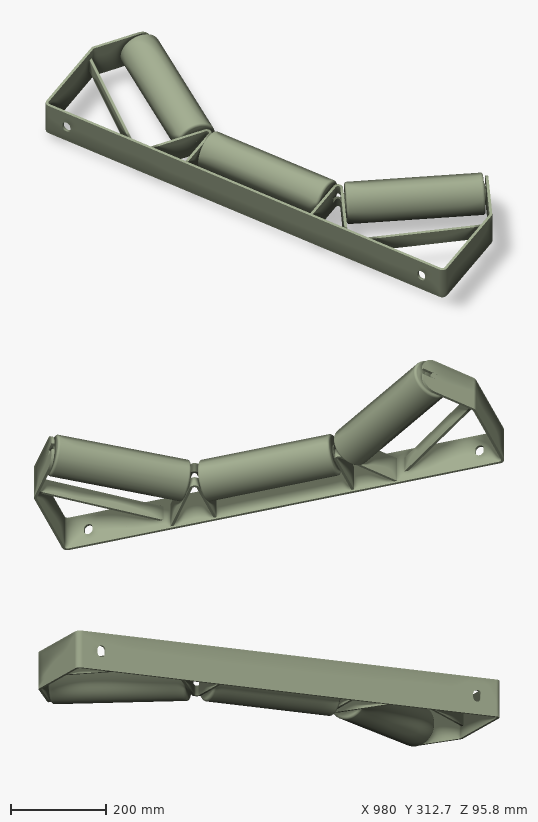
import cadquery as cq
import math

thickness = 6.0
frame_bend_radius = 6.0
bracket_bend_radius = 5.0

frame_width = 980
frame_height = 80.0
wall_height = 198.0
trough_angle = 35
end_plate_length = 135.0
tip_radius = 29
bolt_slot_x = 434.0
bolt_slot_width = 19.0
bolt_slot_height = 25.0

roller_diameter = 89.0
roller_length = 292.0
roller_edge_radius = 5.0
hub_diameter = 42.0
end_gap = 4.0
hub_clearance = 1.0
shaft_radius = 9.0
shaft_across_flats = 15.0
plate_spacing = roller_length + 2 * end_gap
shaft_length = plate_spacing + 2 * thickness
hub_length = plate_spacing - 2 * hub_clearance

middle_roller_y = 98
side_axis_along_plate = 105.0
inner_axis_z = -7.0
shaft_slot_length = 59
shaft_slot_depth = 2 * thickness

bracket_height = 59
brace_height = 35.0
brace_z = 2.0
brace_wall_y = 187.0
brace_bar_x = -268.0

half_width = frame_width / 2
lean = math.radians(trough_angle)
plate_corner = cq.Vector(-half_width, wall_height, 0)
up_plate = cq.Vector(math.sin(lean), math.cos(lean), 0)
down_trough = cq.Vector(math.cos(lean), -math.sin(lean), 0)


def nearest_to(point):
    return cq.selectors.NearestToPointSelector(point.toTuple())


def mitred_offset(before, corner, after):
    """Point on the far face of a strip, opposite a corner of its near face."""
    directions = ((corner - before).normalized(), (after - corner).normalized())
    first_left, second_left = (cq.Vector(-d.y, d.x, 0) for d in directions)
    return corner + (first_left + second_left) * (thickness / (1 + first_left.dot(second_left)))


def bent_strip(face_points, height, bend_radius=0):
    """Upright strip with its material left of the given face and the given inner radius at bends."""
    points = [cq.Vector(p) for p in face_points]
    lead_in = points[0] * 2 - points[1]
    run_out = points[-1] * 2 - points[-2]
    padded = [lead_in, *points, run_out]
    far_points = [mitred_offset(*padded[i : i + 3]) for i in range(len(points))]
    outline = [(p.x, p.y) for p in points + far_points[::-1]]
    strip = cq.Workplane("XY").polyline(outline).close().extrude(height / 2, both=True)
    for near, far in zip(points[1:-1], far_points[1:-1]):
        strip = strip.edges(nearest_to(near)).fillet(bend_radius + thickness)
        strip = strip.edges(nearest_to(far)).fillet(bend_radius)
    return strip


def mirrored(left_body):
    return left_body.mirror("YZ")


def roller_planes():
    """Planes at the roller middles: X along the shaft, Z toward the open end of the shaft slots."""
    middle = cq.Plane(origin=(0, middle_roller_y, inner_axis_z), xDir=(1, 0, 0), normal=(0, 1, 0))
    outer_end = plate_corner + up_plate * side_axis_along_plate + down_trough * thickness
    inner_end = outer_end + down_trough * plate_spacing + cq.Vector(0, 0, inner_axis_z)
    side = cq.Plane(
        origin=(outer_end + inner_end) / 2, xDir=inner_end - outer_end, normal=up_plate
    )
    return middle, side


def disc(radius, length):
    """Cylinder along X, centred on the origin."""
    return cq.Workplane("YZ").workplane(offset=-length / 2).circle(radius).extrude(length)


def flatted_shaft(length):
    flats = cq.Workplane("XY").box(length, shaft_across_flats, 2 * shaft_radius)
    return disc(shaft_radius, length).intersect(flats)


def roller(plane):
    """Roller whose shaft ends reach the outer faces of the two plates that carry it."""
    shell = disc(roller_diameter / 2, roller_length).edges().fillet(roller_edge_radius)
    body = shell.union(disc(hub_diameter / 2, hub_length)).union(flatted_shaft(shaft_length))
    return cq.Workplane(body.val().moved(plane.location))


def shaft_slots(plane):
    """Cutters for the open slots that the flatted shaft ends drop into."""
    slots = flatted_shaft(plate_spacing + 2 * shaft_slot_depth)
    for side in (-1, 1):
        throat = cq.Workplane("XY").box(
            shaft_slot_depth, shaft_across_flats, shaft_slot_length, centered=(True, True, False)
        )
        slots = slots.union(throat.translate((side * (plate_spacing + shaft_slot_depth) / 2, 0, 0)))
    return cq.Workplane(slots.val().moved(plane.location))


def frame(side_slots):
    left_tip = plate_corner + up_plate * end_plate_length
    right_tip = cq.Vector(-left_tip.x, left_tip.y, 0)
    right_corner = cq.Vector(half_width, wall_height, 0)
    body = bent_strip(
        [left_tip, plate_corner, (-half_width, 0, 0), (half_width, 0, 0), right_corner, right_tip],
        frame_height,
        frame_bend_radius,
    )
    for tip in (left_tip, right_tip):
        for z in (-frame_height / 2, frame_height / 2):
            body = body.edges(nearest_to(tip + cq.Vector(0, 0, z))).fillet(tip_radius)
    bolt_slots = (
        cq.Workplane("XZ")
        .pushPoints([(-bolt_slot_x, 0), (bolt_slot_x, 0)])
        .slot2D(bolt_slot_height, bolt_slot_width, 90)
        .extrude(-thickness)
    )
    return body.cut(bolt_slots).cut(side_slots).cut(mirrored(side_slots))


def left_bracket(frame_body, slots):
    """Inverted V between the left and middle rollers, its feet on the back of the bar."""
    upright_x = -plate_spacing / 2
    face_point = plate_corner + down_trough * (thickness + plate_spacing)
    apex_y = face_point.y + (upright_x - face_point.x) / math.tan(lean)
    foot_x = face_point.x + (thickness - face_point.y) * math.tan(lean)
    body = bent_strip(
        [(upright_x, thickness, 0), (upright_x, apex_y, 0), (foot_x, thickness, 0)],
        bracket_height,
        bracket_bend_radius,
    ).translate((0, 0, inner_axis_z))
    for cutter in (frame_body, *slots):
        body = body.cut(cutter)
    return body


def left_brace(frame_body):
    """Diagonal strip from the bar to the left wall."""
    body = bent_strip(
        [(brace_bar_x, thickness, 0), (thickness - half_width, brace_wall_y, 0)], brace_height
    )
    return body.translate((0, 0, brace_z)).cut(frame_body)


middle_plane, side_plane = roller_planes()
middle_slots = shaft_slots(middle_plane)
side_slots = shaft_slots(side_plane)

frame_body = frame(side_slots)
middle_roller = roller(middle_plane)
side_roller = roller(side_plane)
bracket = left_bracket(frame_body, (middle_slots, side_slots))
brace = left_brace(frame_body)

bodies = [frame_body.solids().val(), middle_roller.solids().val()]
for left_body in (side_roller, bracket, brace):
    bodies += [left_body.solids().val(), mirrored(left_body).solids().val()]

result = cq.Compound.makeCompound(bodies)